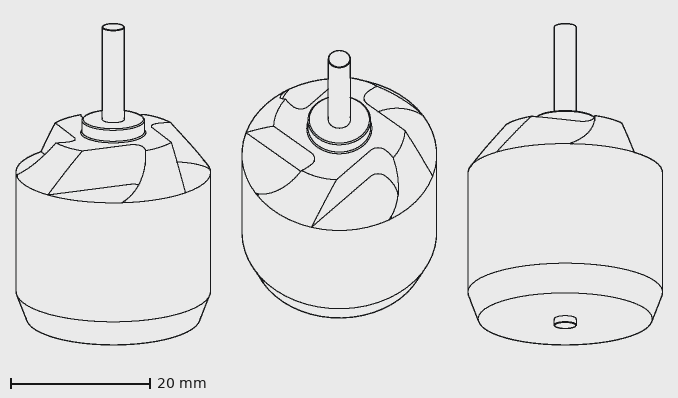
import cadquery as cq

total_height = 45.0
base_z = 1.0
lower_taper_top_z = 5.0
can_top_z = 23.0
cap_top_z = 29.0
boss_top_z = 31.0

can_radius = 28.0 / 2
base_radius = 12.5
cap_top_radius = 9.45
boss_radius = 4.5
shaft_radius = 3.2 / 2

shaft_chamfer = 0.1
boss_chamfer = 0.2
boss_root_flare = 0.2

pocket_count = 4
pocket_wall_offset = 6.05
pocket_corner_radius = 1.5
pocket_arc_radius = 5.85


def make_can():
    """Turned body: lower taper, cylindrical can and conical cap."""
    return (
        cq.Workplane("XZ")
        .moveTo(0, base_z)
        .lineTo(base_radius, base_z)
        .lineTo(can_radius, lower_taper_top_z)
        .lineTo(can_radius, can_top_z)
        .lineTo(cap_top_radius, cap_top_z)
        .lineTo(0, cap_top_z)
        .close()
        .revolve(360, (0, 0), (0, 1))
    )


def make_pocket():
    """Pocket on the -Y side: straight inner wall, small corner, large arc, open at the rim."""
    corner_y = -pocket_wall_offset - pocket_corner_radius
    arc_center_x = pocket_corner_radius - pocket_arc_radius
    arc_bottom_y = corner_y - pocket_arc_radius
    outside = can_radius + 0.45
    return (
        cq.Workplane("XY", origin=(0, 0, can_top_z))
        .moveTo(-outside, -pocket_wall_offset)
        .lineTo(0, -pocket_wall_offset)
        .tangentArcPoint((pocket_corner_radius, corner_y), relative=False)
        .tangentArcPoint((arc_center_x, arc_bottom_y), relative=False)
        .lineTo(arc_center_x, -outside)
        .lineTo(-outside, -outside)
        .close()
        .extrude(cap_top_z - can_top_z)
    )


def make_boss():
    """Central boss with a flared root and a chamfered top edge."""
    return (
        cq.Workplane("XZ")
        .moveTo(0, cap_top_z)
        .lineTo(boss_radius + boss_root_flare, cap_top_z)
        .lineTo(boss_radius, cap_top_z + boss_root_flare)
        .lineTo(boss_radius, boss_top_z - boss_chamfer)
        .lineTo(boss_radius - boss_chamfer, boss_top_z)
        .lineTo(0, boss_top_z)
        .close()
        .revolve(360, (0, 0), (0, 1))
    )


def make_shaft():
    """Shaft through the full height with both ends chamfered."""
    shaft = cq.Workplane("XY").circle(shaft_radius).extrude(total_height)
    return shaft.faces("<Z or >Z").edges().chamfer(shaft_chamfer)


body = make_can()
for index in range(pocket_count):
    angle = index * 360 / pocket_count
    body = body.cut(make_pocket().rotate((0, 0, 0), (0, 0, 1), angle))

result = body.union(make_boss()).union(make_shaft())